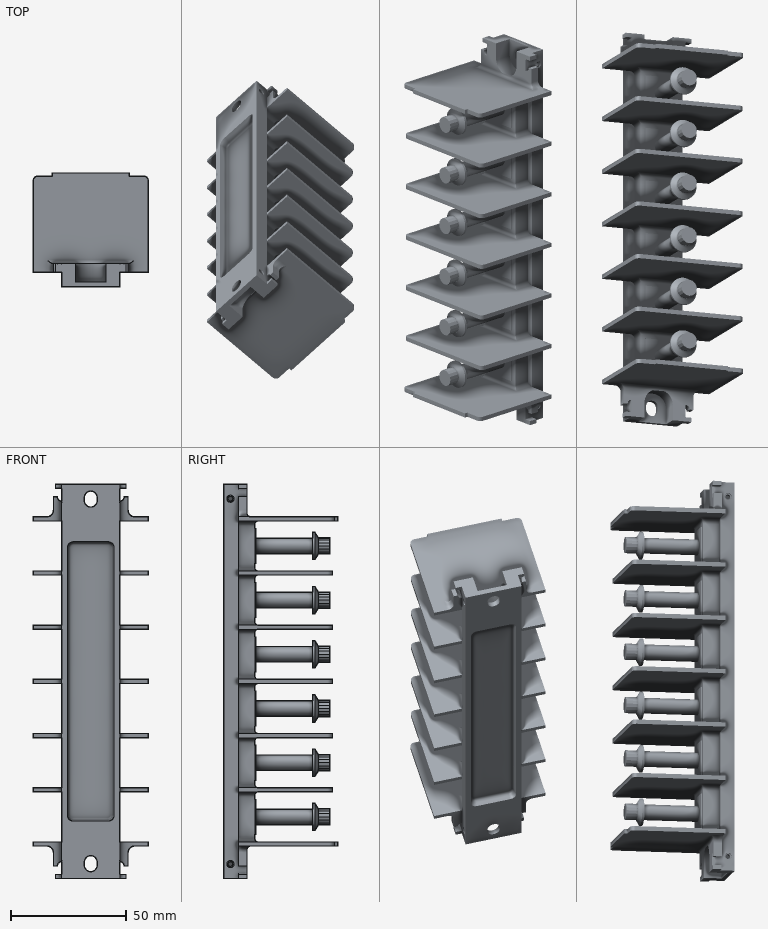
import cadquery as cq


length = 171.2
rail_width = 25.2
rail_depth = 6.3
half_length = length / 2

bay_count = 6
end_plate_z = 70.5
pitch = 2 * end_plate_z / bay_count
plate_thickness = 1.9
plate_width = 50.0
end_plate_tip = 49.5
tongue_width = 33.5
tongue_height = 1.4
inner_plate_tip = 47.3
plate_corner_radius = 2.0
end_plate_outer_z = end_plate_z + plate_thickness / 2

block_width = 19.5
block_back = 13.5
block_side_flare = 2.0
block_back_flare = 1.4

end_back = 10.1
bracket_width = 32.5
bracket_top_z = half_length - 5.5
bracket_side_flare = 2.7
bracket_back_flare = 1.5
groove_radius = 1.9
lip_width = 30.6
lip_height = 1.9
lip_fillet = 0.3

mount_z = half_length - 6.5
mount_hole_width = 5.5
mount_hole_height = 6.8
recess_width = 13.2
recess_floor = 2.2
recess_bottom_z = mount_z - recess_width / 2
recess_corner_radius = 6.3

side_hole_y = 2.9
side_hole_z = half_length - 6.3
side_hole_diameter = 3.0
side_hole_depth = 0.7
pilot_diameter = 2.0
pilot_depth = 2.5

pocket_width = 20.2
pocket_length = 121.2
pocket_depth = 3.6
pocket_corner_radius = 2.5
pocket_draft = 10
pocket_floor_fillet = 1.0

contact_size = 15.2
contact_thickness = 0.5
shank_diameter = 6.8
washer_start = 38.5
washer_rim = 1.0
washer_diameter = 12.0
head_start = 41.1
head_end = 46.0
head_diameter = 7.2
head_sides = 16


def box(width, y_start, y_end, z_start, z_end):
    """Box centred on X between the given Y and Z limits."""
    return (
        cq.Workplane("XY")
        .box(width, y_end - y_start, z_end - z_start, centered=(True, False, False))
        .translate((0, y_start, z_start))
    )


def rod(diameter, y_start, y_end, x=0, z=0):
    """Cylinder along Y."""
    return cq.Workplane("XZ", origin=(x, y_start, z)).circle(diameter / 2).extrude(y_start - y_end)


def mirrored_ends(upper):
    """The upper end feature together with its mirror image at the lower end."""
    return upper.union(upper.mirror("XY"))


def flare(width, back, side_radius, back_radius):
    """Concave foot on the plane Z = 0 around the sides and back of a block."""
    foot_width = width + 2 * side_radius
    foot_back = back + back_radius
    foot = box(foot_width, rail_depth, foot_back, 0, side_radius)
    for side in (-1, 1):
        foot = foot.cut(
            rod(2 * side_radius, 0, 2 * foot_back, side * foot_width / 2, side_radius)
        )
    back_round = (
        cq.Workplane("YZ", origin=(-foot_width, 0, 0))
        .center(foot_back, back_radius)
        .circle(back_radius)
        .extrude(2 * foot_width)
    )
    above_round = box(2 * foot_width, back, 2 * foot_back, back_radius, 2 * side_radius)
    return foot.cut(back_round).cut(above_round)


def inner_plate(z):
    plate = box(plate_width, rail_depth, inner_plate_tip, -plate_thickness / 2, plate_thickness / 2)
    return plate.edges("|Z and >Y").fillet(plate_corner_radius).translate((0, 0, z))


def end_plate(z):
    shoulder = end_plate_tip - tongue_height
    plate = box(plate_width, rail_depth, shoulder, -plate_thickness / 2, plate_thickness / 2)
    plate = plate.edges("|Z and >Y").fillet(plate_corner_radius)
    tongue = box(tongue_width, rail_depth, end_plate_tip, -plate_thickness / 2, plate_thickness / 2)
    return plate.union(tongue).translate((0, 0, z))


def upper_end():
    """Block with side brackets and lips beyond the upper end plate."""
    bracket = box(bracket_width, rail_depth, end_back, end_plate_outer_z, bracket_top_z)
    for side in (-1, 1):
        groove_x = side * rail_width / 2
        bracket = bracket.cut(rod(2 * groove_radius, rail_depth, end_back, groove_x, bracket_top_z))
    foot = flare(bracket_width, end_back, bracket_side_flare, bracket_back_flare)
    core = box(rail_width, rail_depth, end_back, end_plate_outer_z, half_length)
    lip = box(lip_width, rail_depth, end_back, half_length - lip_height, half_length)
    lipped_core = core.union(lip)
    for side in (-1, 1):
        lip_root = (side * rail_width / 2, (rail_depth + end_back) / 2, half_length - lip_height)
        root_edge = cq.NearestToPointSelector(lip_root)
        lipped_core = lipped_core.edges("|Y").edges(root_edge).fillet(lip_fillet)
    return bracket.union(foot.translate((0, 0, end_plate_outer_z))).union(lipped_core)


def upper_recess():
    """Mounting hole and the U-shaped recess open to the back and the upper end."""
    slot = (
        cq.Workplane("XZ", origin=(0, 0, mount_z))
        .slot2D(mount_hole_height, mount_hole_width, 90)
        .extrude(-end_back)
    )
    channel = box(recess_width, recess_floor, end_back, recess_bottom_z, half_length)
    return slot.union(channel.edges("|Y and <Z").fillet(recess_corner_radius))


def upper_side_holes():
    """Stepped blind hole in each side face of the rail."""
    mouth_plane = cq.Workplane("YZ", origin=(-rail_width / 2, side_hole_y, side_hole_z))
    hole = mouth_plane.circle(side_hole_diameter / 2).extrude(side_hole_depth)
    hole = hole.union(mouth_plane.circle(pilot_diameter / 2).extrude(pilot_depth))
    return hole.union(hole.mirror("YZ"))


def pocket():
    outline = (
        cq.Sketch().rect(pocket_width, pocket_length).vertices().fillet(pocket_corner_radius)
    )
    cutter = cq.Workplane("XZ").placeSketch(outline).extrude(-pocket_depth, taper=pocket_draft)
    return cutter.faces(">Y").edges().fillet(pocket_floor_fillet)


def terminal_screw(z):
    """Contact pad, shank, conical washer and faceted head."""
    half_contact = contact_size / 2
    pad = box(contact_size, block_back, block_back + contact_thickness, -half_contact, half_contact)
    shank = rod(shank_diameter, block_back, head_start)
    washer = (
        cq.Workplane("XY")
        .moveTo(0, washer_start)
        .lineTo(washer_diameter / 2, washer_start)
        .lineTo(washer_diameter / 2, washer_start + washer_rim)
        .lineTo(head_diameter / 2, head_start)
        .lineTo(0, head_start)
        .close()
        .revolve(360, (0, 0, 0), (0, 1, 0))
    )
    head = (
        cq.Workplane("XZ", origin=(0, washer_start, 0))
        .polygon(head_sides, head_diameter)
        .extrude(washer_start - head_end)
    )
    return pad.union(shank).union(washer).union(head).translate((0, 0, z))


result = box(rail_width, 0, rail_depth, -half_length, half_length)
result = result.union(box(block_width, rail_depth, block_back, -end_plate_z, end_plate_z))
result = result.union(mirrored_ends(upper_end()))
result = result.union(mirrored_ends(end_plate(end_plate_z)))

for index in range(1, bay_count):
    result = result.union(inner_plate(index * pitch - end_plate_z))

block_foot = flare(block_width, block_back, block_side_flare, block_back_flare)
for index in range(bay_count):
    bay_z = (index + 0.5) * pitch - end_plate_z
    lower_foot = block_foot.translate((0, 0, -(pitch - plate_thickness) / 2))
    bay_feet = mirrored_ends(lower_foot)
    result = result.union(bay_feet.translate((0, 0, bay_z)))
    result = result.union(terminal_screw(bay_z))

result = result.cut(mirrored_ends(upper_recess()))
result = result.cut(mirrored_ends(upper_side_holes()))
result = result.cut(pocket())